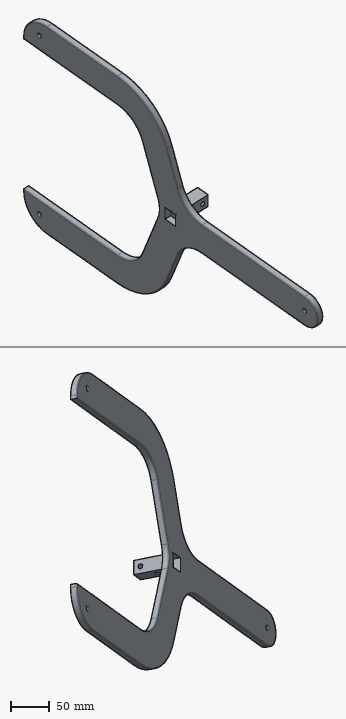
import cadquery as cq
import math

length = 560.0
span = 360.0
thickness = 10.0
bar_width = 50.0
edge_round = 1.0

bend_start_x = -101.0
slope_angle = 20.0
bend_inner_radius = bar_width
bend_outer_radius = bend_inner_radius + bar_width
crotch_radius = bar_width
stem_fillet_radius = bar_width
tip_radius = 45.0

hole_diameter = 6.0
tip_hole_inset = 30.0

peg_side = 20.0
overall_depth = 58.0
peg_hole_diameter = 7.0
upright_hole_to_plate = 18.0
cross_hole_to_end = 10.0

left_x = -length / 2
right_x = length / 2
outer_z = span / 2
inner_z = outer_z - bar_width
stem_half = bar_width / 2
stem_end_x = right_x - stem_half
bend_z = outer_z - bend_outer_radius
peg_length = overall_depth - thickness

slope = math.radians(slope_angle)


def sloped_line_x(radius, z):
    """X at height z of the sloped line that is tangent to a bend of the given radius."""
    return bend_start_x + (radius + (bend_z - z) * math.sin(slope)) / math.cos(slope)


def on_bend(radius, angle):
    """Point of a bend circle; the angle is in radians from +X."""
    return (bend_start_x + radius * math.cos(angle), bend_z + radius * math.sin(angle))


def mirrored(point):
    """The same point on the other side of the X axis."""
    return (point[0], -point[1])


def make_plate():
    """Fork from y = -thickness to y = 0, with all outer edges rounded."""
    mid_bend = (slope + math.pi / 2) / 2

    corner_x = sloped_line_x(bend_outer_radius, stem_half)
    fillet_x = corner_x + stem_fillet_radius * math.tan((math.pi / 2 - slope) / 2)
    fillet_z = stem_half + stem_fillet_radius

    def on_fillet(angle):
        return (
            fillet_x - stem_fillet_radius * math.cos(angle),
            fillet_z - stem_fillet_radius * math.sin(angle),
        )

    crotch_x = sloped_line_x(bend_inner_radius, 0) - crotch_radius / math.cos(slope)
    crotch_end = (crotch_x + crotch_radius * math.cos(slope), crotch_radius * math.sin(slope))

    tip_center_x = left_x + tip_radius
    tip_center_z = outer_z - tip_radius
    tip_mid = (
        tip_center_x - tip_radius * math.sqrt(0.5),
        tip_center_z + tip_radius * math.sqrt(0.5),
    )

    outline = (
        cq.Workplane("XZ")
        .moveTo(*crotch_end)
        .lineTo(*on_bend(bend_inner_radius, slope))
        .threePointArc(on_bend(bend_inner_radius, mid_bend), (bend_start_x, inner_z))
        .lineTo(left_x, inner_z)
        .lineTo(left_x, tip_center_z)
        .threePointArc(tip_mid, (tip_center_x, outer_z))
        .lineTo(bend_start_x, outer_z)
        .threePointArc(on_bend(bend_outer_radius, mid_bend), on_bend(bend_outer_radius, slope))
        .lineTo(*on_fillet(slope))
        .threePointArc(on_fillet(mid_bend), (fillet_x, stem_half))
        .lineTo(stem_end_x, stem_half)
        .threePointArc((right_x, 0), (stem_end_x, -stem_half))
        .lineTo(fillet_x, -stem_half)
        .threePointArc(mirrored(on_fillet(mid_bend)), mirrored(on_fillet(slope)))
        .lineTo(*mirrored(on_bend(bend_outer_radius, slope)))
        .threePointArc(mirrored(on_bend(bend_outer_radius, mid_bend)), (bend_start_x, -outer_z))
        .lineTo(tip_center_x, -outer_z)
        .threePointArc(mirrored(tip_mid), (left_x, -tip_center_z))
        .lineTo(left_x, -inner_z)
        .lineTo(bend_start_x, -inner_z)
        .threePointArc(
            mirrored(on_bend(bend_inner_radius, mid_bend)),
            mirrored(on_bend(bend_inner_radius, slope)),
        )
        .lineTo(*mirrored(crotch_end))
        .threePointArc((crotch_x + crotch_radius, 0), crotch_end)
        .close()
    )
    blank = outline.extrude(thickness)

    tip_hole_x = left_x + tip_hole_inset
    tip_hole_z = outer_z - stem_half
    holes = (
        cq.Workplane("XZ")
        .pushPoints([(tip_hole_x, tip_hole_z), (tip_hole_x, -tip_hole_z), (stem_end_x, 0)])
        .circle(hole_diameter / 2)
        .extrude(thickness)
    )

    window = cq.Workplane("XZ").rect(peg_side, peg_side).extrude(thickness)
    rounded = blank.cut(holes).faces("<Y or >Y").edges().fillet(edge_round)
    return rounded.cut(window)


def make_peg():
    """Square peg that stands on the back of the plate, at y = 0."""
    peg = cq.Workplane("XZ").rect(peg_side, peg_side).extrude(-peg_length)

    upright_hole = (
        cq.Workplane("XY")
        .center(0, upright_hole_to_plate)
        .circle(peg_hole_diameter / 2)
        .extrude(peg_side, both=True)
    )
    cross_hole = (
        cq.Workplane("YZ")
        .center(peg_length - cross_hole_to_end, 0)
        .circle(peg_hole_diameter / 2)
        .extrude(peg_side, both=True)
    )
    return peg.cut(upright_hole).cut(cross_hole)


plate = make_plate()
peg = make_peg()

result = cq.Compound.makeCompound([plate.val(), peg.val()])